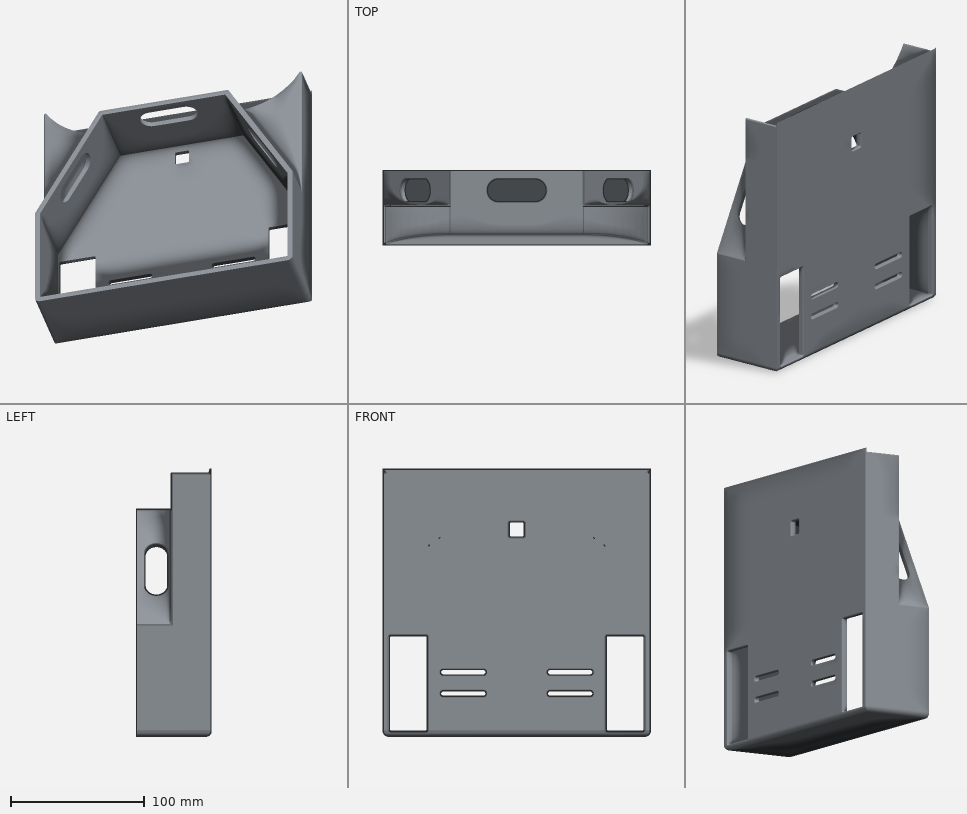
import cadquery as cq
import math

width = 200.0
depth = 56.0
height = 200.0
wall = 4.0
half_width = width / 2

deck_z = 170.0
deck_half = width / 4
slope_angle = math.radians(60.0)
slope_length = (half_width - deck_half) / math.cos(slope_angle)
shoulder_z = deck_z - slope_length * math.sin(slope_angle)

ear_depth = 30.0
scoop_rise = height - deck_z
scoop_run = half_width - deck_half
scoop_radius = (scoop_run**2 + scoop_rise**2) / (2 * scoop_rise)

plate_taper = math.tan(math.radians(15.0))
plate_root = scoop_rise * plate_taper

base_radius = 4.0
edge_radius = 1.0
fine_radius = 0.5

window_side = 4.8
window_width = 28.2
window_height = 71.2
window_x = half_width - window_side - window_width / 2
window_z = wall + window_height / 2
opening_corner = 1.0
peephole_size = 11.0
peephole_z = 154.8
vent_length = 34.0
vent_height = 4.0
vent_x = 40.0
vent_levels = (32.0, 48.0)

slot_length = 44.0
slot_width = 17.0
slot_y = 41.0
slope_slot_offset = 2.0

margin = 10.0


def extrude_back(sketch, length):
    """Extrude an XZ sketch toward +Y."""
    return sketch.extrude(-length)


def scoop_sketch(reach, close_z):
    """XZ area between the scooped top, out to X = +/-reach, and the level close_z."""
    sweep = math.asin((reach - deck_half) / scoop_radius)

    def scoop_point(angle):
        x = deck_half + scoop_radius * math.sin(angle)
        z = deck_z + scoop_radius * (1 - math.cos(angle))
        return x, z

    mid_x, mid_z = scoop_point(sweep / 2)
    end_x, end_z = scoop_point(sweep)
    return (
        cq.Workplane("XZ")
        .moveTo(-deck_half, deck_z)
        .lineTo(deck_half, deck_z)
        .threePointArc((mid_x, mid_z), (end_x, end_z))
        .lineTo(end_x, close_z)
        .lineTo(-end_x, close_z)
        .lineTo(-end_x, end_z)
        .threePointArc((-mid_x, mid_z), (-deck_half, deck_z))
        .close()
    )


def housing_outline(inset):
    """Six-sided XZ outline of the housing, moved inward by the inset."""
    half_top = deck_half - inset * math.tan(slope_angle / 2)
    half_base = half_width - inset
    corner_z = shoulder_z - inset * math.tan((math.pi / 2 - slope_angle) / 2)
    points = [
        (-half_base, inset),
        (half_base, inset),
        (half_base, corner_z),
        (half_top, deck_z - inset),
        (-half_top, deck_z - inset),
        (-half_base, corner_z),
    ]
    return cq.Workplane("XZ").polyline(points).close()


def front_body():
    """Scooped front part with the ear tips and the rear rim of the ears rounded."""
    body = extrude_back(scoop_sketch(half_width, 0), ear_depth)
    ear_tips = body.edges("|Y").edges(">Z")
    rear_rim = body.faces(">Y").edges("%CIRCLE or |Z")
    return rear_rim.add(ear_tips).fillet(edge_radius)


def housing():
    """Solid housing with its slope edges rounded."""
    block = extrude_back(housing_outline(0), depth)
    return block.edges("|Y").edges("not(<Z)").fillet(edge_radius)


def round_slope_feet(body):
    """Round the inner corner between the back of the ears and the housing slopes."""
    reach = 1.5 * edge_radius
    low_corner = (-width, ear_depth - reach, shoulder_z - reach)
    high_corner = (width, ear_depth + reach, deck_z + reach)
    feet = body.edges(cq.selectors.BoxSelector(low_corner, high_corner, boundingbox=True))
    return feet.fillet(edge_radius)


def behind_plate():
    """Space above the scoops and behind the tapered plate, rounded where they meet."""
    top = height + 2 * margin
    sketch = scoop_sketch(half_width + margin / 2, top)
    space = extrude_back(sketch, ear_depth + 2 * margin).translate((0, -margin, 0))
    low_z = deck_z - margin
    back_y = ear_depth + margin
    profile = [
        ((height - low_z) * plate_taper, low_z),
        (back_y, low_z),
        (back_y, top),
        ((height - top) * plate_taper, top),
    ]
    leaning = cq.Workplane("YZ").polyline(profile).close().extrude(width, both=True)
    space = space.intersect(leaning)
    plate_back = (0, plate_root / 2, (deck_z + height) / 2)
    lean_face = space.faces(cq.selectors.NearestToPointSelector(plate_back))
    root = [edge for edge in lean_face.edges().vals() if edge.BoundingBox().zmin < deck_z + edge_radius]
    return space.newObject(root).fillet(edge_radius)


def upper_plate():
    """Tapered plate with a rounded root along the deck and the scoops."""
    profile = [(0, wall), (plate_root, wall), (plate_root, deck_z), (0, height)]
    wedge = cq.Workplane("YZ").polyline(profile).close().extrude(half_width, both=True)
    above_scoops = extrude_back(scoop_sketch(half_width, height + margin), ear_depth)
    return wedge.union(above_scoops.cut(behind_plate()))


def cut_opening(body, cutter, radius):
    """Cut one opening through the front plate and round its front edge."""
    body = body.cut(cutter)
    extent = cutter.val().BoundingBox()
    low_corner = (extent.xmin - radius, -radius, extent.zmin - radius)
    high_corner = (extent.xmax + radius, radius, extent.zmax + radius)
    rim = body.faces("<Y").edges(cq.selectors.BoxSelector(low_corner, high_corner))
    return rim.fillet(radius)


def cut_front_openings(body):
    """Cut the windows, the peephole and the vents."""
    def rounded_rectangle(x, z, size_x, size_z):
        block = extrude_back(cq.Workplane("XZ").center(x, z).rect(size_x, size_z), wall)
        return block.edges("|Y").fillet(opening_corner)

    for side in (-1, 1):
        window = rounded_rectangle(side * window_x, window_z, window_width, window_height)
        body = cut_opening(body, window, edge_radius)
        for level in vent_levels:
            vent = cq.Workplane("XZ").center(side * vent_x, level).slot2D(vent_length, vent_height)
            body = cut_opening(body, extrude_back(vent, wall), fine_radius)
    peephole = rounded_rectangle(0, peephole_z, peephole_size, peephole_size)
    return cut_opening(body, peephole, edge_radius)


def cut_housing_slots(block):
    """Cut the deck slot and the two slope slots, then round their outer edges."""
    cutter = cq.Workplane("XY").slot2D(slot_length, slot_width).extrude(1.5 * wall, both=True)
    from_deck = slope_length / 2 + slope_slot_offset
    slot_x = deck_half + from_deck * math.cos(slope_angle)
    slot_z = deck_z - from_deck * math.sin(slope_angle)
    for x, z, tilt in ((0, deck_z, 0), (slot_x, slot_z, slope_angle), (-slot_x, slot_z, -slope_angle)):
        tilted = cutter.rotate((0, 0, 0), (0, 1, 0), math.degrees(tilt))
        block = block.cut(tilted.translate((x, slot_y, z)))
        outward = cq.Vector(math.sin(tilt), 0, math.cos(tilt))
        outer_face = block.faces(cq.selectors.DirectionMinMaxSelector(outward, True)).val()
        rim = outer_face.innerWires()[0].Edges()
        block = block.newObject(rim).fillet(fine_radius)
    return block


def base_envelope():
    """Bounding block with its front and side base edges rounded."""
    block = cq.Workplane("XY").box(width, depth, height, centered=(True, False, False))
    return block.edges("<Z").edges("not(>Y)").fillet(base_radius)


cavity = extrude_back(housing_outline(wall), depth).translate((0, wall, 0))
body = round_slope_feet(front_body().union(cut_housing_slots(housing())))
body = body.union(upper_plate())
body = body.cut(cavity)
body = cut_front_openings(body)
result = body.intersect(base_envelope())